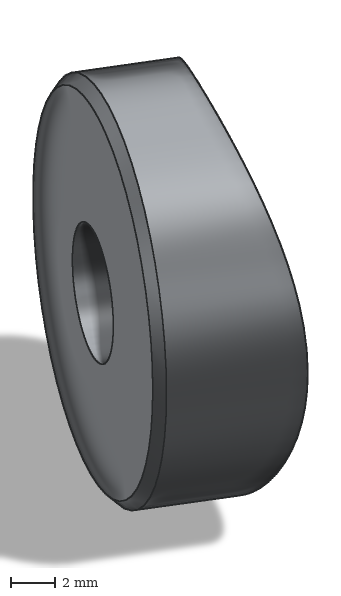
import cadquery as cq

disc_diameter = 20
bore_diameter = 6.5
chamfer_size = 0.5
thickness_at_axis = 5
tube_diameter = 48.3
blank_thickness = 2 * thickness_at_axis


def disc_blank():
    """Disc running along +Y, chamfered around its flat face."""
    disc = (
        cq.Workplane("XZ")
        .circle(disc_diameter / 2)
        .extrude(-blank_thickness)
    )
    return disc.faces("<Y").chamfer(chamfer_size)


def bore():
    """Plain hole along the disc axis."""
    return (
        cq.Workplane("XZ")
        .circle(bore_diameter / 2)
        .extrude(-blank_thickness)
    )


def saddle_tube():
    """Cylinder along Z whose near side touches the saddle's lowest line."""
    tube_axis_y = thickness_at_axis + tube_diameter / 2
    return (
        cq.Workplane("XY")
        .center(0, tube_axis_y)
        .circle(tube_diameter / 2)
        .extrude(disc_diameter, both=True)
    )


result = disc_blank().cut(saddle_tube()).cut(bore())